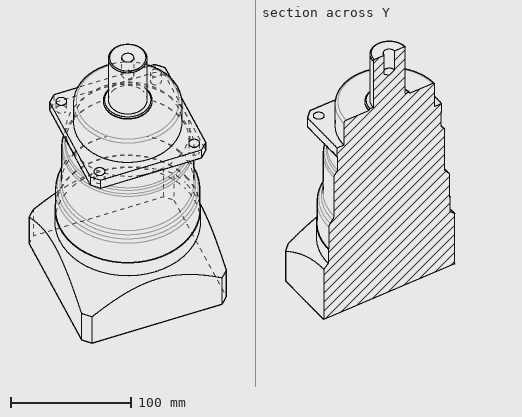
import cadquery as cq
import math

TOTAL_HEIGHT = 263.5

ADAPTER_WIDTH = 130.0
ADAPTER_CORNER_RADIUS = 87.2
ADAPTER_CORNER_TOP = 33.0
ADAPTER_CONE_TOP = 60.0
ADAPTER_RING_RADIUS = 60.5
ADAPTER_RING_TOP = 76.0

GEAR_RADIUS = 60.0
MIDDLE_RADIUS = 55.0
NECK_RADIUS = 51.6
LOWER_CONE_BOTTOM = 102.0
LOWER_CONE_TOP = 107.8
LOWER_BLEND_LENGTH = 2.0
UPPER_CONE_BOTTOM = 153.5
UPPER_CONE_TOP = 157.8
UPPER_BLEND_LENGTH = 1.3

FLANGE_WIDTH = 103.5
FLANGE_CORNER_CHAMFER = 6.5
FLANGE_BOTTOM = 173.5
FLANGE_TOP = 183.5
MOUNTING_HOLE_DIAMETER = 9.0
MOUNTING_HOLE_SPACING = 84.8

PILOT_RADIUS = 45.0
PILOT_TOP = 209.7
PILOT_EDGE_RADIUS = 2.5
COLLAR_RADIUS = 20.3
COLLAR_HEIGHT = 1.5
COLLAR_CHAMFER = 1.0
SHAFT_RADIUS = 16.0
SHAFT_CHAMFER = 1.0

CENTRE_HOLE_RADIUS = 5.0
CENTRE_HOLE_DEPTH = 21.0
DRILL_POINT_ANGLE = 118.0


def add_blended_cone(outline, lower_radius, lower_z, upper_radius, upper_z, blend):
    """Extend a (radius, z) outline up a cone whose two corners are rounded.

    The blend length is the distance from each sharp corner to its tangent points.
    """
    slope_length = math.hypot(upper_radius - lower_radius, upper_z - lower_z)
    blend_radial = blend * (upper_radius - lower_radius) / slope_length
    blend_axial = blend * (upper_z - lower_z) / slope_length
    return (
        outline
        .lineTo(lower_radius, lower_z - blend)
        .tangentArcPoint((lower_radius + blend_radial, lower_z + blend_axial), relative=False)
        .lineTo(upper_radius - blend_radial, upper_z - blend_axial)
        .tangentArcPoint((upper_radius, upper_z + blend), relative=False)
    )


def make_adapter():
    turned = (
        cq.Workplane("XZ")
        .lineTo(ADAPTER_CORNER_RADIUS, 0)
        .lineTo(ADAPTER_CORNER_RADIUS, ADAPTER_CORNER_TOP)
        .lineTo(ADAPTER_RING_RADIUS, ADAPTER_CONE_TOP)
        .lineTo(ADAPTER_RING_RADIUS, ADAPTER_RING_TOP)
        .lineTo(0, ADAPTER_RING_TOP)
        .close()
        .revolve(360, (0, 0), (0, 1))
    )
    square = cq.Workplane("XY").rect(ADAPTER_WIDTH, ADAPTER_WIDTH).extrude(ADAPTER_RING_TOP)
    return turned.intersect(square)


def make_housing():
    outline = cq.Workplane("XZ").moveTo(0, ADAPTER_RING_TOP).lineTo(GEAR_RADIUS, ADAPTER_RING_TOP)
    outline = add_blended_cone(
        outline, GEAR_RADIUS, LOWER_CONE_BOTTOM, MIDDLE_RADIUS, LOWER_CONE_TOP, LOWER_BLEND_LENGTH
    )
    outline = add_blended_cone(
        outline, MIDDLE_RADIUS, UPPER_CONE_BOTTOM, NECK_RADIUS, UPPER_CONE_TOP, UPPER_BLEND_LENGTH
    )
    return (
        outline
        .lineTo(NECK_RADIUS, FLANGE_BOTTOM)
        .lineTo(0, FLANGE_BOTTOM)
        .close()
        .revolve(360, (0, 0), (0, 1))
    )


def make_flange():
    return (
        cq.Workplane("XY", origin=(0, 0, FLANGE_BOTTOM))
        .rect(FLANGE_WIDTH, FLANGE_WIDTH)
        .extrude(FLANGE_TOP - FLANGE_BOTTOM)
        .edges("|Z")
        .chamfer(FLANGE_CORNER_CHAMFER)
    )


def make_mounting_holes():
    return (
        cq.Workplane("XY", origin=(0, 0, FLANGE_BOTTOM))
        .rect(MOUNTING_HOLE_SPACING, MOUNTING_HOLE_SPACING, forConstruction=True)
        .vertices()
        .circle(MOUNTING_HOLE_DIAMETER / 2)
        .extrude(FLANGE_TOP - FLANGE_BOTTOM)
    )


def make_output_end():
    collar_top = PILOT_TOP + COLLAR_HEIGHT
    return (
        cq.Workplane("XZ")
        .moveTo(0, FLANGE_TOP)
        .lineTo(PILOT_RADIUS, FLANGE_TOP)
        .lineTo(PILOT_RADIUS, PILOT_TOP - PILOT_EDGE_RADIUS)
        .tangentArcPoint((PILOT_RADIUS - PILOT_EDGE_RADIUS, PILOT_TOP), relative=False)
        .lineTo(COLLAR_RADIUS, PILOT_TOP)
        .lineTo(COLLAR_RADIUS, collar_top - COLLAR_CHAMFER)
        .lineTo(COLLAR_RADIUS - COLLAR_CHAMFER, collar_top)
        .lineTo(SHAFT_RADIUS, collar_top)
        .lineTo(SHAFT_RADIUS, TOTAL_HEIGHT - SHAFT_CHAMFER)
        .lineTo(SHAFT_RADIUS - SHAFT_CHAMFER, TOTAL_HEIGHT)
        .lineTo(0, TOTAL_HEIGHT)
        .close()
        .revolve(360, (0, 0), (0, 1))
    )


def make_centre_hole():
    wall_bottom = TOTAL_HEIGHT - CENTRE_HOLE_DEPTH
    point_depth = CENTRE_HOLE_RADIUS / math.tan(math.radians(DRILL_POINT_ANGLE / 2))
    return (
        cq.Workplane("XZ")
        .moveTo(0, TOTAL_HEIGHT)
        .lineTo(CENTRE_HOLE_RADIUS, TOTAL_HEIGHT)
        .lineTo(CENTRE_HOLE_RADIUS, wall_bottom)
        .lineTo(0, wall_bottom - point_depth)
        .close()
        .revolve(360, (0, 0), (0, 1))
    )


result = (
    make_adapter()
    .union(make_housing())
    .union(make_flange())
    .union(make_output_end())
    .cut(make_mounting_holes())
    .cut(make_centre_hole())
)